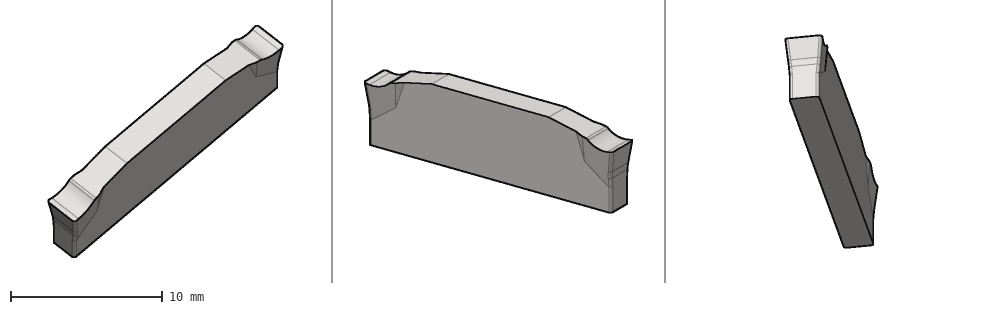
import math

import cadquery as cq

length = 20.0
height = 5.68
core_width = 2.0
core_half = core_width / 2

tip_y = length / 2
tip_z = 4.55
relief_depth = 0.25
relief_break_z = 2.77
relief_blend_radius = 3.5
corner_radius = 0.2

land_length = 0.45
land_angle = math.radians(9)
breaker_radius = 1.92
crest_radius = 0.4
ramp_angle = math.radians(12)
ramp_normal = math.pi / 2 - ramp_angle
flat_half_length = 4.7
ramp_top = (flat_half_length, height)

head_corner = (7.58, 3.24)
lower_line_end = (9.58, 1.85)
rear_line_end = (6.91, 5.20)
lower_flare_slope = 0.109
rear_flare_slope = 0.3

flare_reach = 5.0
flare_overrun = length / 2


def polar(center, distance, angle):
    """Point (y, z) at a distance from the center, in the direction of an angle from +Y."""
    return (center[0] + distance * math.cos(angle), center[1] + distance * math.sin(angle))


def crest_center_beside(breaker_center):
    """Centre of the crest arc, tangent to both the ramp and the breaker arc."""
    line_start = polar(ramp_top, -crest_radius, ramp_normal)
    offset_y = line_start[0] - breaker_center[0]
    offset_z = line_start[1] - breaker_center[1]
    along = offset_y * math.cos(ramp_angle) - offset_z * math.sin(ramp_angle)
    center_distance = breaker_radius + crest_radius
    start_distance = math.hypot(offset_y, offset_z)
    travel = -along - math.sqrt(along**2 - start_distance**2 + center_distance**2)
    return polar(line_start, travel, -ramp_angle)


def end_blank(width):
    """Half of the insert (y >= 0) as a plain extrusion of its side outline."""
    foot_y = tip_y - relief_depth
    land_end = polar((tip_y, tip_z), -land_length, land_angle)
    land_normal = land_angle + math.pi / 2
    breaker_center = polar(land_end, breaker_radius, land_normal)
    crest_center = crest_center_beside(breaker_center)

    joint_angle = math.atan2(
        breaker_center[1] - crest_center[1], breaker_center[0] - crest_center[0]
    )
    breaker_middle = polar(breaker_center, -breaker_radius, (land_normal + joint_angle) / 2)
    crest_start = polar(crest_center, crest_radius, joint_angle)
    crest_middle = polar(crest_center, crest_radius, (joint_angle + ramp_normal) / 2)
    crest_end = polar(crest_center, crest_radius, ramp_normal)

    blank = (
        cq.Workplane("YZ")
        .moveTo(0, 0)
        .lineTo(foot_y, 0)
        .lineTo(foot_y, relief_break_z)
        .lineTo(tip_y, tip_z)
        .lineTo(*land_end)
        .threePointArc(breaker_middle, crest_start)
        .threePointArc(crest_middle, crest_end)
        .lineTo(*ramp_top)
        .lineTo(0, height)
        .close()
        .extrude(width / 2, both=True)
    )
    relief_edge = cq.selectors.NearestToPointSelector((0, foot_y, relief_break_z))
    return blank.edges(relief_edge).fillet(relief_blend_radius)


def flare(start, end, slope):
    """Bar of core width at the line start-end that widens steadily to the right of that line."""
    line_length = math.dist(start, end)
    direction_y = (end[0] - start[0]) / line_length
    direction_z = (end[1] - start[1]) / line_length
    origin = (
        0,
        start[0] - flare_overrun * direction_y,
        start[1] - flare_overrun * direction_z,
    )
    plane = cq.Plane(origin=origin, xDir=(1, 0, 0), normal=(0, direction_y, direction_z))
    wide_half = core_half + slope * flare_reach
    return (
        cq.Workplane(plane)
        .polyline(
            [
                (-core_half, 0),
                (core_half, 0),
                (wide_half, flare_reach),
                (-wide_half, flare_reach),
            ]
        )
        .close()
        .extrude(2 * flare_overrun)
    )


def insert_half():
    """One end of the insert with its flared head and rounded end corners."""
    lower = flare(lower_line_end, head_corner, lower_flare_slope)
    rear = flare(head_corner, rear_line_end, rear_flare_slope)
    max_width = core_width + 2 * lower_flare_slope * flare_reach
    head = end_blank(max_width).intersect(lower).intersect(rear)
    body = end_blank(core_width).union(head)

    corner_zone = cq.selectors.BoxSelector(
        (-core_width, tip_y - 2 * relief_depth, 0), (core_width, length, tip_z - corner_radius)
    )
    corner_edges = body.edges(corner_zone).edges("not |X")
    return corner_edges.fillet(corner_radius)


half = insert_half()
result = half.union(half.mirror("XZ"))